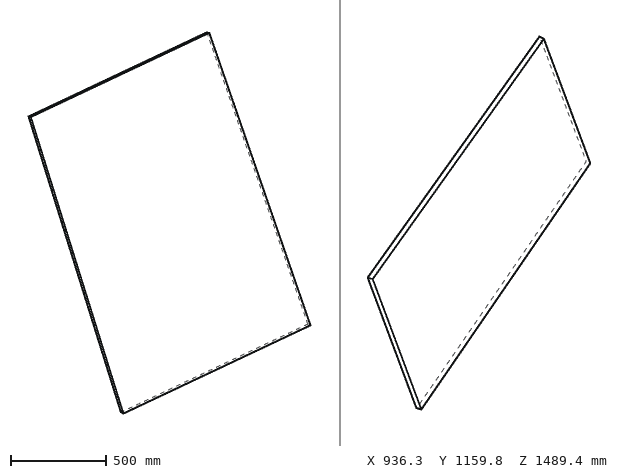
import math

import cadquery as cq

THICKNESS = 30.0
MEAN_LENGTH = 1732.38
END_BEVEL = 5.8

TILT = 58.2824

HIGH_END_WIDTH = 1105.2
LOW_END_WIDTH = 1159.77

BEVEL_SHIFT = THICKNESS / 2 * math.tan(math.radians(END_BEVEL))
HALF_UPPER = MEAN_LENGTH / 2 + BEVEL_SHIFT
HALF_LOWER = MEAN_LENGTH / 2 - BEVEL_SHIFT
HALF_THICKNESS = THICKNESS / 2

TILT_COS = math.cos(math.radians(TILT))
TILT_SIN = math.sin(math.radians(TILT))
HIGH_END_X = -(HALF_LOWER * TILT_COS + HALF_THICKNESS * TILT_SIN)
LOW_END_X = HALF_UPPER * TILT_COS + HALF_THICKNESS * TILT_SIN


def bevelled_slab():
    """Panel lying flat, centred along X, with bevelled ends, running from Y = 0 toward +Y."""
    section = [
        (-HALF_LOWER, -HALF_THICKNESS),
        (HALF_LOWER, -HALF_THICKNESS),
        (HALF_UPPER, HALF_THICKNESS),
        (-HALF_UPPER, HALF_THICKNESS),
    ]
    return cq.Workplane("XZ").polyline(section).close().extrude(-LOW_END_WIDTH)


def plan_prism():
    """Upright prism over the plan outline, tall enough to enclose the tilted panel."""
    outline = [
        (HIGH_END_X, 0),
        (LOW_END_X, 0),
        (LOW_END_X, LOW_END_WIDTH),
        (HIGH_END_X, HIGH_END_WIDTH),
    ]
    return cq.Workplane("XY").polyline(outline).close().extrude(MEAN_LENGTH, both=True)


def tilted_panel():
    """Tilt the slab about the Y axis, then trim its +Y edge with a slanted vertical cut."""
    slab = bevelled_slab().rotate((0, 0, 0), (0, 1, 0), TILT)
    return slab.intersect(plan_prism())


result = tilted_panel()